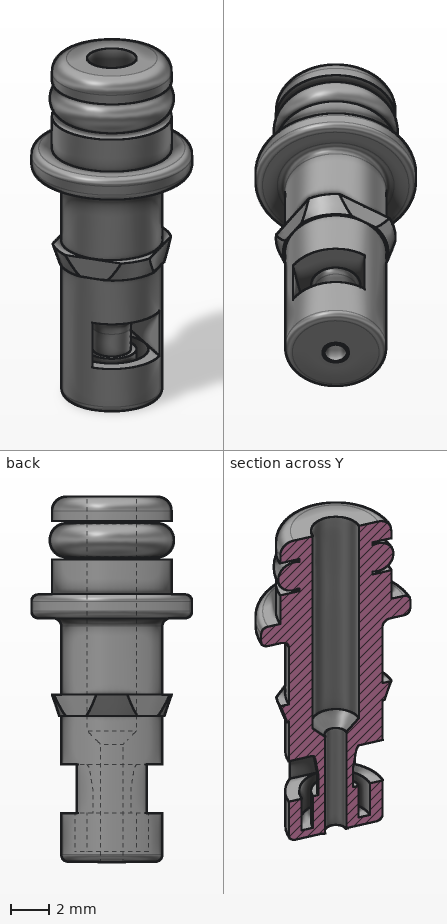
import cadquery as cq
import math

total_height = 19.05
head_bottom = 17.77
collar_top = 15.77
flange_top = 13.96
flange_bottom = 12.7
barb_top = 8.75
barb_bottom = 7.62
window_top = 5.1
window_bottom = 2.57
flare_bottom = 3.83
tip_height = 0.04

head_radius = 6.25 / 2
neck_radius = 2.05
flange_radius = 8.38 / 2
body_radius = 5.28 / 2
barb_top_radius = 6.25 / 2
barb_bottom_radius = 2.75
post_radius = 1.98 / 2
sleeve_radius = 2.57 / 2
cup_radius = 3.81 / 2
inlet_radius = 2.57 / 2
bore_radius = 1.16 / 2
tip_radius = 0.69

seal_outer_radius = 3.24
seal_section_radius = 0.9
seal_height = (head_bottom + collar_top) / 2

head_fillet = 0.76
flange_fillet = 0.38
neck_fillet = 0.4
bottom_fillet = 0.38

flat_top_distance = 2.7
flat_bottom_distance = body_radius

cup_floor = 0.57
inlet_cone_top = 6.85

flare_cone_radius = 1.15
flare_cone_height = 0.93
flare_curve_radius = 1.2
flare_curve_height = 4.97


def cylinder(radius, bottom, top):
    return cq.Workplane("XY").workplane(offset=bottom).circle(radius).extrude(top - bottom)


def make_body():
    """Turned outer body, with rounded edges and a small flat tip underneath."""
    arc = math.sqrt(0.5)
    fillet_radius = body_radius + neck_fillet
    fillet_bottom = flange_bottom - neck_fillet
    profile = (
        cq.Workplane("XZ")
        .moveTo(0, tip_height)
        .lineTo(body_radius, tip_height)
        .lineTo(body_radius, fillet_bottom)
        .threePointArc(
            (fillet_radius - neck_fillet * arc, fillet_bottom + neck_fillet * arc),
            (fillet_radius, flange_bottom),
        )
        .lineTo(flange_radius, flange_bottom)
        .lineTo(flange_radius, flange_top)
        .lineTo(head_radius, flange_top)
        .lineTo(head_radius, collar_top)
        .lineTo(neck_radius, collar_top)
        .lineTo(neck_radius, head_bottom)
        .lineTo(head_radius, head_bottom)
        .lineTo(head_radius, total_height)
        .lineTo(0, total_height)
        .close()
    )
    body = profile.revolve(360, (0, 0, 0), (0, 1, 0))
    body = body.faces(">Z").edges().fillet(head_fillet)
    body = body.faces("<Z").edges().fillet(bottom_fillet)
    outermost_rims = cq.selectors.RadiusNthSelector(-1)
    body = body.edges(outermost_rims).fillet(flange_fillet)
    return body.union(cylinder(tip_radius, 0, body_radius / 2))


def make_seal_ring():
    """Torus swept from the -X side, which puts the seam line inside the neck."""
    ring_radius = seal_outer_radius - seal_section_radius
    return (
        cq.Workplane("XZ")
        .moveTo(-ring_radius, seal_height)
        .circle(seal_section_radius)
        .revolve(360, (0, 0, 0), (0, 1, 0))
    )


def make_barb():
    """Conical barb, widest at the top, trimmed by four sloping diagonal flats."""
    height = barb_top - barb_bottom
    base = cq.Workplane("XY").workplane(offset=barb_bottom)
    cone = (
        base.circle(barb_bottom_radius)
        .workplane(offset=height)
        .circle(barb_top_radius)
        .loft(ruled=True)
    )
    flats = (
        base.rect(2 * flat_bottom_distance, 2 * flat_bottom_distance)
        .workplane(offset=height)
        .rect(2 * flat_top_distance, 2 * flat_top_distance)
        .loft(ruled=True)
        .rotate((0, 0, 0), (0, 0, 1), 45)
    )
    return cone.intersect(flats)


def make_window():
    """Opening along X that leaves two side walls."""
    window_height = window_top - window_bottom
    return cq.Workplane("XY").workplane(offset=window_bottom).rect(
        2 * body_radius, 2 * cup_radius
    ).extrude(window_height)


def make_post():
    """Central post, flared at the ceiling and standing in a sleeve in the cup."""
    cone_top = flare_bottom + flare_cone_height
    post = (
        cq.Workplane("XZ")
        .moveTo(0, cup_floor)
        .lineTo(sleeve_radius, cup_floor)
        .lineTo(sleeve_radius, window_bottom)
        .lineTo(post_radius, window_bottom)
        .lineTo(post_radius, flare_bottom)
        .lineTo(flare_cone_radius, cone_top)
        .threePointArc((flare_curve_radius, flare_curve_height), (sleeve_radius, window_top))
        .lineTo(0, window_top)
        .close()
    )
    return post.revolve(360, (0, 0, 0), (0, 1, 0))


def make_flow_passage():
    """Wide inlet from the top, narrowing by a 45 degree cone to the through bore."""
    cone_bottom = inlet_cone_top - (inlet_radius - bore_radius)
    passage = (
        cq.Workplane("XZ")
        .moveTo(0, 0)
        .lineTo(bore_radius, 0)
        .lineTo(bore_radius, cone_bottom)
        .lineTo(inlet_radius, inlet_cone_top)
        .lineTo(inlet_radius, total_height)
        .lineTo(0, total_height)
        .close()
    )
    return passage.revolve(360, (0, 0, 0), (0, 1, 0))


result = make_body().union(make_seal_ring()).union(make_barb())
result = result.cut(make_window()).cut(cylinder(cup_radius, cup_floor, window_bottom))
result = result.union(make_post()).cut(make_flow_passage())